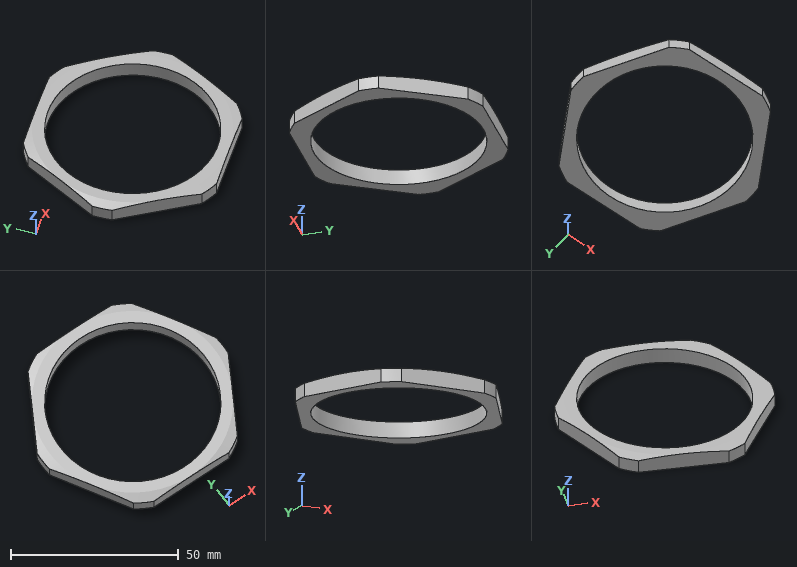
import cadquery as cq
import math

corner_diameter = 66.0
across_flats = 60.0
thickness = 5.0
bore_diameter = 52.45
chamfer_angle = 15.0

corner_radius = corner_diameter / 2
top_radius = across_flats / 2
chamfer_drop = (corner_radius - top_radius) * math.tan(math.radians(chamfer_angle))


def hexagon():
    """Hexagonal prism with its flats facing -Y and +Y."""
    across_corners = across_flats / math.cos(math.radians(30))
    return cq.Workplane("XY").polygon(6, across_corners).extrude(thickness)


def chamfered_disc():
    """Turned envelope that rounds the corners and chamfers the top."""
    return (
        cq.Workplane("XZ")
        .moveTo(0, 0)
        .lineTo(corner_radius, 0)
        .lineTo(corner_radius, thickness - chamfer_drop)
        .lineTo(top_radius, thickness)
        .lineTo(0, thickness)
        .close()
        .revolve(360, (0, 0, 0), (0, 1, 0))
    )


def bore():
    """Cylinder that opens the nut from bottom to top."""
    return cq.Workplane("XY").circle(bore_diameter / 2).extrude(thickness)


result = hexagon().intersect(chamfered_disc()).cut(bore())